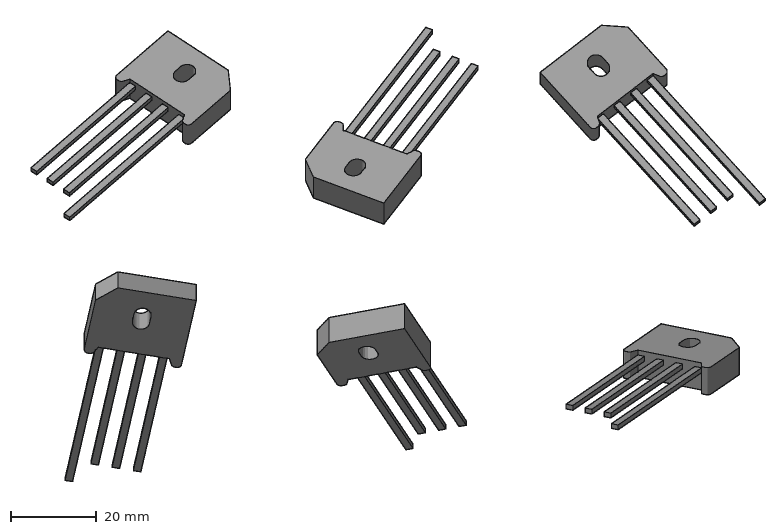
import cadquery as cq

total_length = 58.1
body_width = 23.2
body_height = 6.85

recess_depth_from_back = 17.2
foot_depth_from_back = 19.3
foot_tip_width = 2.1
foot_root_width = 3.15
foot_radius = 1.05
corner_cut_x = 4.5
corner_cut_y = 4.35

slot_width = 4.05
slot_length = 5.85
slot_from_back = 7.45

lead_count = 4
lead_width = 1.8
lead_thickness = 1.2
lead_pitch = 5.05
lead_top_gap = 1.2
short_lead_reach = 52.4
lead_embed = 1.15

back_y = total_length / 2
half_width = body_width / 2
bottom_z = -body_height / 2
recess_y = back_y - recess_depth_from_back
foot_y = back_y - foot_depth_from_back


def make_body():
    """Flat package with one cut corner and a rounded foot on each side."""
    foot_tip_x = half_width - foot_tip_width
    foot_root_x = half_width - foot_root_width
    outline = [
        (-half_width, back_y),
        (half_width - corner_cut_x, back_y),
        (half_width, back_y - corner_cut_y),
        (half_width, foot_y),
        (foot_tip_x, foot_y),
        (foot_root_x, recess_y),
        (-foot_root_x, recess_y),
        (-foot_tip_x, foot_y),
        (-half_width, foot_y),
    ]
    body = cq.Workplane("XY").workplane(offset=bottom_z).polyline(outline).close().extrude(body_height)
    return body.faces("<Y").edges("|Z").fillet(foot_radius)


def make_slot():
    """Through slot, long in Y, centred across the body."""
    return (
        cq.Workplane("XY")
        .workplane(offset=bottom_z)
        .center(0, back_y - slot_from_back)
        .slot2D(slot_length, slot_width, 90)
        .extrude(body_height)
    )


def make_lead(index):
    """One straight lead, rooted inside the body; the last lead is the longest."""
    reach = total_length if index == lead_count - 1 else short_lead_reach
    length = reach - recess_depth_from_back + lead_embed
    x = (index - (lead_count - 1) / 2) * lead_pitch
    y = recess_y + lead_embed - length / 2
    z = body_height / 2 - lead_top_gap - lead_thickness / 2
    return cq.Workplane("XY").box(lead_width, length, lead_thickness).translate((x, y, z))


result = make_body().cut(make_slot())
for lead_index in range(lead_count):
    result = result.union(make_lead(lead_index))